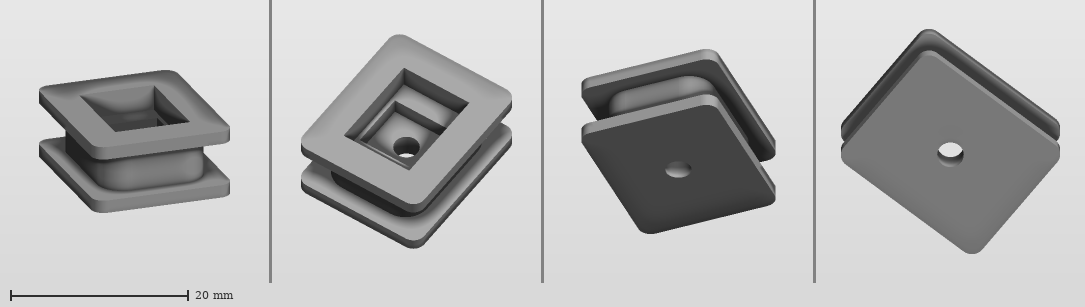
import cadquery as cq

length = 20.0
width = 16.6
height = 8.0

flange_thickness = 1.5
flange_corner_radius = 1.5
flange_overhang = 2.0
core_length = length - 2 * flange_overhang
core_width = width - 2 * flange_overhang
core_height = height - 2 * flange_thickness
core_corner_radius = 3.0

upper_pocket_length = 12.0
upper_pocket_width = 9.0
upper_pocket_depth = 3.0
lower_pocket_length = 7.0
lower_pocket_width = 8.0
lower_pocket_depth = 2.0
hole_diameter = 3.0


def rounded_plate(size_x, size_y, thickness, corner_radius, bottom):
    """Plate centred on the Z axis with rounded vertical edges."""
    plate = cq.Workplane("XY").workplane(offset=bottom).rect(size_x, size_y).extrude(thickness)
    return plate.edges("|Z").fillet(corner_radius)


def pocket_cutter(size_x, size_y, depth, top):
    """Sharp-cornered rectangular block reaching down from the given height."""
    return cq.Workplane("XY").workplane(offset=top).rect(size_x, size_y).extrude(-depth)


core = rounded_plate(core_length, core_width, core_height, core_corner_radius, flange_thickness)
body = core
for flange_bottom in (0.0, height - flange_thickness):
    flange = rounded_plate(length, width, flange_thickness, flange_corner_radius, flange_bottom)
    body = body.union(flange)

step_height = height - upper_pocket_depth
upper_pocket = pocket_cutter(upper_pocket_length, upper_pocket_width, upper_pocket_depth, height)
lower_pocket = pocket_cutter(lower_pocket_length, lower_pocket_width, lower_pocket_depth, step_height)
hole = cq.Workplane("XY").circle(hole_diameter / 2).extrude(height)

result = body.cut(upper_pocket).cut(lower_pocket).cut(hole)